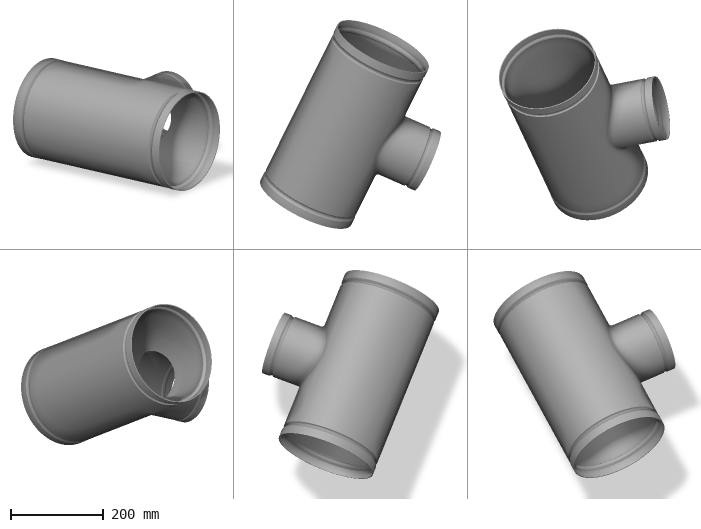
import cadquery as cq
import math


WALL = 2.0

RUN_LENGTH = 395.2
RUN_COLLAR_DIA = 219.0
RUN_BODY_DIA = 217.8
RUN_GROOVE_DIA = 211.0
RUN_COLLAR_WIDTH = 18.0
RUN_GROOVE_END = 29.0

BRANCH_REACH = 197.5
BRANCH_COLLAR_DIA = 139.5
BRANCH_BODY_DIA = 138.5
BRANCH_GROOVE_DIA = 134.0
BRANCH_COLLAR_WIDTH = 16.0
BRANCH_GROOVE_END = 25.3

COLLAR_FLANK_ANGLE = 40.0
BODY_FLANK_ANGLE = 60.0
GROOVE_ROUND = 2.0
SADDLE_FILLET = 7.0

RADIUS_TOLERANCE = 3.95e-06


def grooved_end(collar_dia, body_dia, groove_dia, collar_width, groove_end, inset):
    """Half profile of a rolled end as (distance from opening, radius) points.

    The outside profile is moved inward by inset, square to every face, so the wall stays even.
    """
    collar_flank = math.radians(COLLAR_FLANK_ANGLE)
    body_flank = math.radians(BODY_FLANK_ANGLE)
    collar_radius = collar_dia / 2 - inset
    body_radius = body_dia / 2 - inset
    groove_radius = groove_dia / 2 - inset
    collar_end = collar_width - inset * math.tan(collar_flank / 2)
    body_start = groove_end + inset * math.tan(body_flank / 2)
    floor_start = collar_end + (collar_radius - groove_radius) / math.tan(collar_flank)
    floor_end = body_start - (body_radius - groove_radius) / math.tan(body_flank)
    return [
        (0, collar_radius),
        (collar_end, collar_radius),
        (floor_start, groove_radius),
        (floor_end, groove_radius),
        (body_start, body_radius),
    ]


def run_solid(inset):
    """Solid of revolution about X bounded by the run surface, moved inward by inset."""
    left_end = [
        (distance - RUN_LENGTH / 2, radius)
        for distance, radius in grooved_end(
            RUN_COLLAR_DIA, RUN_BODY_DIA, RUN_GROOVE_DIA, RUN_COLLAR_WIDTH, RUN_GROOVE_END, inset
        )
    ]
    right_end = [(-x, radius) for x, radius in reversed(left_end)]
    axis_ends = [(RUN_LENGTH / 2, 0), (-RUN_LENGTH / 2, 0)]
    profile = cq.Workplane("XY").polyline(left_end + right_end + axis_ends).close()
    return profile.revolve(360, (0, 0, 0), (1, 0, 0))


def branch_solid(inset):
    """Solid of revolution about Y from the run axis out to the branch opening."""
    end = [
        (radius, BRANCH_REACH - distance)
        for distance, radius in grooved_end(
            BRANCH_COLLAR_DIA, BRANCH_BODY_DIA, BRANCH_GROOVE_DIA,
            BRANCH_COLLAR_WIDTH, BRANCH_GROOVE_END, inset,
        )
    ]
    body_radius = end[-1][0]
    profile = cq.Workplane("XY").polyline([(0, BRANCH_REACH)] + end + [(body_radius, 0), (0, 0)]).close()
    return profile.revolve(360, (0, 0, 0), (0, 1, 0))


def round_groove(solid, groove_dia, inset):
    """Round both corners of every groove floor, keeping inner and outer roundings concentric."""
    floor_radius = groove_dia / 2 - inset
    corners = solid.edges("%CIRCLE").filter(
        lambda edge: math.isclose(edge.radius(), floor_radius, abs_tol=RADIUS_TOLERANCE)
    )
    return corners.fillet(GROOVE_ROUND + inset)


def tee(inset):
    """Run and branch joined, with all surfaces moved inward by inset."""
    run = round_groove(run_solid(inset), RUN_GROOVE_DIA, inset)
    branch = round_groove(branch_solid(inset), BRANCH_GROOVE_DIA, inset)
    return run.union(branch)


def fillet_saddle(solid):
    """Round the curve where the branch meets the run; it is the only free-form edge."""
    return solid.edges("%BSPLINE").fillet(SADDLE_FILLET)


outside = fillet_saddle(tee(0))
bore = tee(WALL)
result = outside.cut(bore)